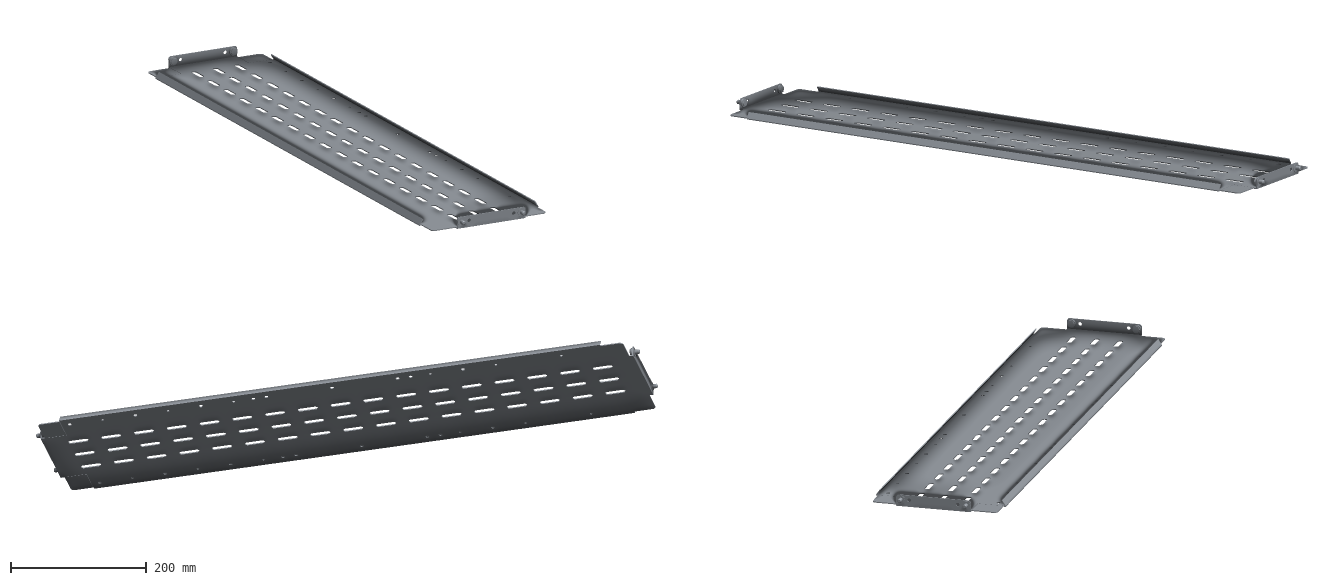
import cadquery as cq
import math

length_over_studs = 921.0
thickness = 1.5
plate_length = 892.0
plate_width = 192.0
corner_radius = 5.5

flange_length = 825.0
flange_outer_width = 199.0
flange_height = 10.0
flange_lean = 5.5

tab_outer_span = 904.0
tab_width = 114.0
tab_height = 17.5
tab_corner_radius = 4.0
stud_height = 10.0
stud_spacing = 100.0
stud_radius = 3.2
washer_radius = 6.0
washer_thickness = 3.0
collar_thickness = 1.0
stud_chamfer = 1.1
nut_across_corners = 11.0
nut_thickness = 5.0
tab_hole_spacing = 75.0
tab_hole_diameter = 5.5

slot_span = 800.0
slot_columns = 17
slot_pitch = slot_span / (slot_columns - 1)
slot_row_pitch = 36.0
slot_rows = 3
slot_length = 30.0
slot_width = 8.0

hole_row_spacing = 169.0
large_hole_diameter = 6.0
small_hole_diameter = 4.1
large_hole_pitches = [-8, -6, -4, -2.4, -2, 0, 2, 2.4, 4]
small_hole_pitches = [-7, -5, -3, 3, 5, 7]

slit_width = 0.55
slit_bridge = 2.0


def box(x_min, x_max, y_min, y_max, z_min, z_max):
    size = (x_max - x_min, y_max - y_min, z_max - z_min)
    return cq.Workplane("XY").box(*size, centered=False).translate((x_min, y_min, z_min))


def make_plate():
    plate = (
        cq.Workplane("XY")
        .rect(plate_length, plate_width)
        .extrude(thickness)
        .edges("|Z")
        .fillet(corner_radius)
    )
    tongue = cq.Workplane("XY").rect(tab_outer_span, tab_width).extrude(thickness)
    return plate.union(tongue)


def make_flange():
    """Side flange along the +Y edge: a foot in the plate and a wall leaning inward."""
    outer = flange_outer_width / 2
    angle = math.atan2(flange_lean, flange_height - thickness)
    inward = thickness * math.cos(angle)
    down = thickness * math.sin(angle)
    inner_corner = outer - thickness / math.cos(angle)
    foot_edge = outer - flange_lean - thickness
    points = [
        (foot_edge, 0),
        (outer, 0),
        (outer, thickness),
        (outer - flange_lean, flange_height),
        (outer - flange_lean - inward, flange_height - down),
        (inner_corner, thickness),
        (foot_edge, thickness),
    ]
    return cq.Workplane("YZ").polyline(points).close().extrude(flange_length / 2, both=True)


def make_end_tab():
    """Upright tab at the +X end with its nuts, washers and studs."""
    outer = tab_outer_span / 2
    tab = (
        box(outer - thickness, outer, -tab_width / 2, tab_width / 2, 0, tab_height)
        .edges("|X and >Z")
        .fillet(tab_corner_radius)
    )
    inner_plane = cq.Workplane("YZ", origin=(outer - thickness, 0, stud_height))
    stud_places = [(-stud_spacing / 2, 0), (stud_spacing / 2, 0)]
    hole_places = [(-tab_hole_spacing / 2, 0), (tab_hole_spacing / 2, 0)]
    nuts = inner_plane.pushPoints(stud_places).polygon(6, nut_across_corners).extrude(-nut_thickness)
    stud_length = length_over_studs / 2 - outer + thickness
    studs = (
        inner_plane.pushPoints(stud_places)
        .circle(stud_radius)
        .extrude(stud_length)
        .faces(">X")
        .chamfer(stud_chamfer)
    )
    holes = inner_plane.pushPoints(hole_places).circle(tab_hole_diameter / 2).extrude(thickness)
    washers = (
        inner_plane.workplane(offset=-washer_thickness)
        .pushPoints(stud_places)
        .circle(washer_radius)
        .extrude(washer_thickness + thickness + collar_thickness)
    )
    return tab.cut(holes).union(washers).union(nuts).union(studs)


def make_slots():
    return (
        cq.Workplane("XY")
        .rarray(slot_pitch, slot_row_pitch, slot_columns, slot_rows)
        .slot2D(slot_length, slot_width)
        .extrude(thickness)
    )


def make_edge_holes(pitches, diameter):
    """Two mirrored rows of round holes beside the flanges."""
    places = [(n * slot_pitch, side * hole_row_spacing / 2) for n in pitches for side in (-1, 1)]
    return cq.Workplane("XY").pushPoints(places).circle(diameter / 2).extrude(thickness)


def make_corner_slit():
    """L-shaped slit that frames the plate corner at -X, +Y."""
    slit_x = -flange_length / 2
    slit_y = tab_width / 2
    along_x = box(-plate_length / 2 + slit_bridge, slit_x, slit_y - slit_width, slit_y, 0, thickness)
    along_y = box(slit_x - slit_width, slit_x, slit_y - slit_width, plate_width / 2, 0, thickness)
    return along_x.union(along_y)


flange = make_flange()
end_tab = make_end_tab()
corner_slit = make_corner_slit()

result = (
    make_plate()
    .union(flange)
    .union(flange.mirror("XZ"))
    .union(end_tab)
    .union(end_tab.mirror("YZ"))
    .cut(make_slots())
    .cut(make_edge_holes(large_hole_pitches, large_hole_diameter))
    .cut(make_edge_holes(small_hole_pitches, small_hole_diameter))
    .cut(corner_slit)
    .cut(corner_slit.mirror("XZ"))
)